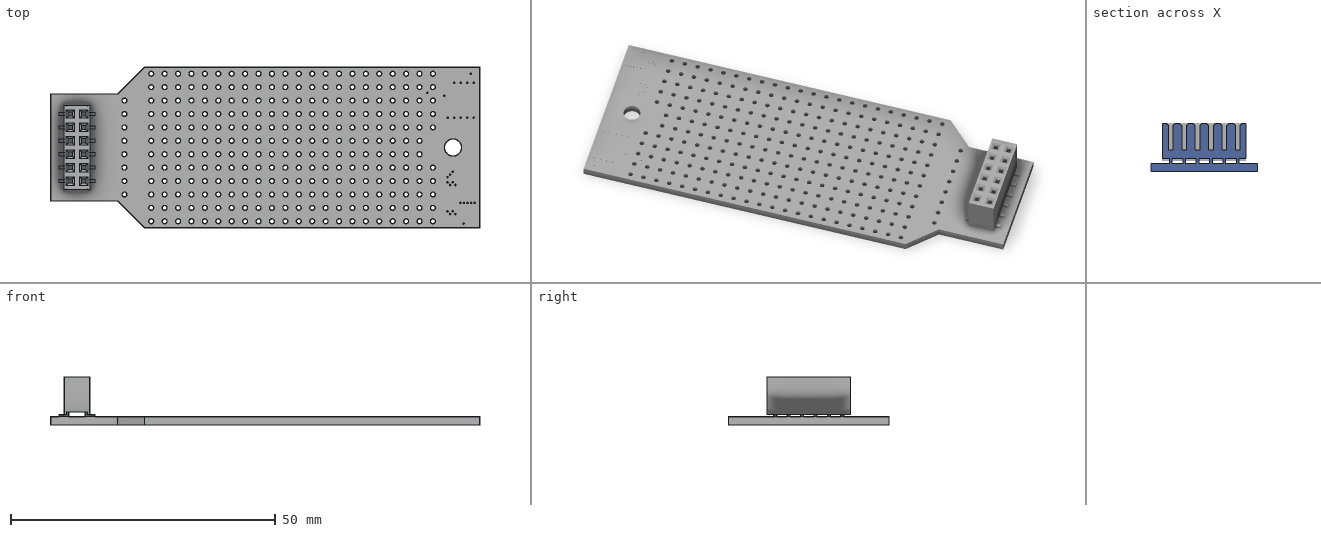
import cadquery as cq

GRID = 2.54
BOARD_LENGTH = 32 * GRID
BOARD_WIDTH = 12 * GRID
BOARD_THICKNESS = 1.6
NECK_WIDTH = 8 * GRID
NECK_LENGTH = 5 * GRID
FLARE = (BOARD_WIDTH - NECK_WIDTH) / 2

GRID_HOLE_DIAMETER = 0.89
GRID_ROWS = 12
GRID_COLUMNS = 22
GRID_START_X = 7.5 * GRID
NECK_COLUMN_X = 5.5 * GRID
NECK_COLUMN_ROWS = 8

MOUNT_DIAMETER = 3.2
MOUNT_X = BOARD_LENGTH - 2 * GRID

VIA_DIAMETER = 0.2
WIDE_VIA_PITCH = 1.23
UPPER_ROW_COUNT = 4
LOWER_ROW_COUNT = 5
FINE_VIA_PITCH = 0.67
FINE_ROW_COUNT = 5
STAGGER = 0.5
DIAGONAL_COUNT = 3
STAGGERED_COUNT = 4
WIDE_ROW_END_X = BOARD_LENGTH - 1.17
UPPER_ROW_Y = 12.25
LOWER_ROW_Y = 5.67
FINE_ROW_START_X = 77.6
FINE_ROW_Y = -10.5
STAGGER_START_X = 75.15
DIAGONAL_START_Y = -5.62
STAGGERED_ROWS_Y = (-6.6, -12.1)
LONE_VIAS = [(79.55, 13.97), (71.35, 10.35), (74.55, 9.8), (78.2, -14.4)]

TOTAL_HEIGHT = 9.12
SOCKET_X = 5.0
SOCKET_WIDTH = 4.9
SOCKET_LENGTH = 15.9
PIN_ROWS = 2
PINS_PER_ROW = 6
FOOT_THICKNESS = 0.4
SOCKET_BOTTOM = BOARD_THICKNESS + FOOT_THICKNESS
SOCKET_HEIGHT = TOTAL_HEIGHT - SOCKET_BOTTOM
CHANNEL_WIDTH = 3.9
CHANNEL_HEIGHT = 0.45

OPENING_SIZE = 1.6
CONTACT_HOLE_SIZE = 0.8
LEAD_IN_DEPTH = (OPENING_SIZE - CONTACT_HOLE_SIZE) / 2
CONTACT_HOLE_DEPTH = 5.0

LEAD_WIDTH = 0.6
LEAD_THICKNESS = FOOT_THICKNESS
LEAD_SPAN = 6.85
POST_SPAN = CHANNEL_WIDTH


def centred_steps(count, pitch):
    """Positions of `count` points at `pitch`, centred on zero."""
    return [(i - (count - 1) / 2) * pitch for i in range(count)]


def grid_points():
    """Short neck column and full field of holes, without the two beside the mounting hole."""
    points = [(NECK_COLUMN_X, y) for y in centred_steps(NECK_COLUMN_ROWS, GRID)]
    for column in range(GRID_COLUMNS):
        is_last = column == GRID_COLUMNS - 1
        for y in centred_steps(GRID_ROWS, GRID):
            if is_last and abs(y) < GRID:
                continue
            points.append((GRID_START_X + column * GRID, y))
    return points


def via_points():
    """Vias in straight rows, one diagonal, two staggered rows and single ones."""
    points = list(LONE_VIAS)
    for count, row_y in ((UPPER_ROW_COUNT, UPPER_ROW_Y), (LOWER_ROW_COUNT, LOWER_ROW_Y)):
        points += [(WIDE_ROW_END_X - i * WIDE_VIA_PITCH, row_y) for i in range(count)]
    points += [(FINE_ROW_START_X + i * FINE_VIA_PITCH, FINE_ROW_Y) for i in range(FINE_ROW_COUNT)]
    for i in range(DIAGONAL_COUNT):
        points.append((STAGGER_START_X + i * STAGGER, DIAGONAL_START_Y + i * STAGGER))
    for row_y in STAGGERED_ROWS_Y:
        for i in range(STAGGERED_COUNT):
            points.append((STAGGER_START_X + i * STAGGER, row_y - (i % 2) * STAGGER))
    return points


def make_board():
    half_neck = NECK_WIDTH / 2
    half_board = BOARD_WIDTH / 2
    outline = [
        (0, -half_neck),
        (NECK_LENGTH, -half_neck),
        (NECK_LENGTH + FLARE, -half_board),
        (BOARD_LENGTH, -half_board),
        (BOARD_LENGTH, half_board),
        (NECK_LENGTH + FLARE, half_board),
        (NECK_LENGTH, half_neck),
        (0, half_neck),
    ]
    holes = (
        cq.Sketch()
        .push(grid_points()).circle(GRID_HOLE_DIAMETER / 2).reset()
        .push(via_points()).circle(VIA_DIAMETER / 2).reset()
        .push([(MOUNT_X, 0)]).circle(MOUNT_DIAMETER / 2).reset()
    )
    plate = cq.Workplane("XY").polyline(outline).close().extrude(BOARD_THICKNESS)
    return plate.cut(cq.Workplane("XY").placeSketch(holes).extrude(BOARD_THICKNESS))


def make_contact_cutter():
    """Square hole with a tapered lead-in, its mouth at z = 0."""
    lead_in = (
        cq.Workplane("XY")
        .rect(OPENING_SIZE, OPENING_SIZE)
        .workplane(offset=-LEAD_IN_DEPTH)
        .rect(CONTACT_HOLE_SIZE, CONTACT_HOLE_SIZE)
        .loft()
    )
    hole = cq.Workplane("XY").rect(CONTACT_HOLE_SIZE, CONTACT_HOLE_SIZE).extrude(-CONTACT_HOLE_DEPTH)
    return lead_in.union(hole)


def make_socket():
    base = cq.Workplane("XY", origin=(SOCKET_X, 0, SOCKET_BOTTOM))
    body = base.rect(SOCKET_WIDTH, SOCKET_LENGTH).extrude(SOCKET_HEIGHT)
    body = body.cut(base.rect(CHANNEL_WIDTH, SOCKET_LENGTH).extrude(CHANNEL_HEIGHT))
    cutter = make_contact_cutter()
    for x in centred_steps(PIN_ROWS, GRID):
        for y in centred_steps(PINS_PER_ROW, GRID):
            body = body.cut(cutter.translate((SOCKET_X + x, y, TOTAL_HEIGHT)))
    return body


def make_lead():
    """Lead pointing to +X: a foot on the board and a post up into the channel roof."""
    post_inner = POST_SPAN / 2 - LEAD_THICKNESS
    profile = [
        (post_inner, 0),
        (LEAD_SPAN / 2, 0),
        (LEAD_SPAN / 2, FOOT_THICKNESS),
        (POST_SPAN / 2, FOOT_THICKNESS),
        (POST_SPAN / 2, FOOT_THICKNESS + CHANNEL_HEIGHT),
        (post_inner, FOOT_THICKNESS + CHANNEL_HEIGHT),
    ]
    return cq.Workplane("XZ").polyline(profile).close().extrude(LEAD_WIDTH / 2, both=True)


def make_part():
    part = make_board().union(make_socket())
    right_lead = make_lead()
    left_lead = right_lead.mirror("YZ")
    for y in centred_steps(PINS_PER_ROW, GRID):
        for lead in (left_lead, right_lead):
            part = part.union(lead.translate((SOCKET_X, y, BOARD_THICKNESS)))
    return part


result = make_part()